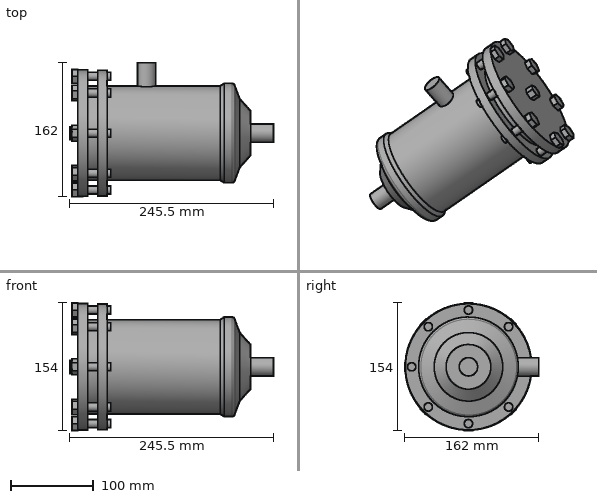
import cadquery as cq
import math


cover_diameter = 153.0
cover_thickness = 12.5

flange_diameter = 152.0
flange_thickness = 11.4
flange_gap = 11.7

bolt_count = 8
bolt_diameter = 10.0
bolt_overhang = 4.5
bolt_head_height = 6.8
bolt_head_flats = 17.0
bolt_circle_radius = 68.5

plug_flats = 14.2
plug_height = 9.1
plug_turn = -10.0

shell_diameter = 114.0
shell_end = 172.0

cap_diameter = 120.39
cap_lead_length = 5.0
cap_band_length = 9.0
cap_corner_length = 3.6
cap_corner_drop = 2.4
cap_steep_cone_length = 6.2
cap_crease_radius = 41.4
cap_end_radius = 27.0
cap_length = 36.7

pipe_diameter = 22.2
outlet_length = 27.7
inlet_x = 83.4
inlet_reach = 85.0


flange_front = cover_thickness + flange_gap
flange_back = flange_front + flange_thickness
bolt_end = flange_back + bolt_overhang
cap_end = shell_end + cap_length


def cylinder(diameter, x_start, x_end):
    """Cylinder on the vessel axis between two X positions."""
    return cq.Workplane("YZ", origin=(x_start, 0, 0)).circle(diameter / 2).extrude(x_end - x_start)


def hexagon_prism(flats, height):
    """Hexagonal prism standing out from the cover face, with two flats facing +Y and -Y."""
    corner_diameter = flats / math.cos(math.pi / 6)
    return cq.Workplane("YZ").transformed(rotate=(0, 0, 30)).polygon(6, corner_diameter).extrude(-height)


def make_bolts():
    """Ring of hexagon-head bolts, each with a flat facing outward."""
    bolt = hexagon_prism(bolt_head_flats, bolt_head_height).union(cylinder(bolt_diameter, 0, bolt_end))
    bolt = bolt.translate((0, bolt_circle_radius, 0))
    bolts = cq.Workplane("YZ")
    for index in range(bolt_count):
        bolts = bolts.add(bolt.rotate((0, 0, 0), (1, 0, 0), index * 360 / bolt_count))
    return bolts.combine()


def make_end_cap():
    """Revolved cap: lead-in cone, straight band, rounded corner and two cones."""
    shell_radius = shell_diameter / 2
    band_radius = cap_diameter / 2
    band_start = shell_end + cap_lead_length
    band_end = band_start + cap_band_length
    corner_end = band_end + cap_corner_length
    crease_x = corner_end + cap_steep_cone_length

    corner_radius = (cap_corner_length**2 + cap_corner_drop**2) / (2 * cap_corner_drop)
    half_turn = math.asin(cap_corner_length / corner_radius) / 2
    corner_middle = (
        band_end + corner_radius * math.sin(half_turn),
        band_radius - corner_radius * (1 - math.cos(half_turn)),
    )

    profile = (
        cq.Workplane("XY")
        .moveTo(shell_end, 0)
        .lineTo(shell_end, shell_radius)
        .lineTo(band_start, band_radius)
        .lineTo(band_end, band_radius)
        .threePointArc(corner_middle, (corner_end, band_radius - cap_corner_drop))
        .lineTo(crease_x, cap_crease_radius)
        .lineTo(cap_end, cap_end_radius)
        .lineTo(cap_end, 0)
        .close()
    )
    return profile.revolve(360, (0, 0, 0), (1, 0, 0))


def make_inlet():
    """Side pipe stub running from the vessel axis out toward +Y."""
    return cq.Workplane("XZ", origin=(inlet_x, 0, 0)).circle(pipe_diameter / 2).extrude(-inlet_reach)



cover = cylinder(cover_diameter, 0, cover_thickness)
flange = cylinder(flange_diameter, flange_front, flange_back)
shell = cylinder(shell_diameter, cover_thickness, shell_end)
outlet = cylinder(pipe_diameter, cap_end, cap_end + outlet_length)
plug = hexagon_prism(plug_flats, plug_height).rotate((0, 0, 0), (1, 0, 0), plug_turn)

result = (
    cover.union(shell)
    .union(flange)
    .union(make_end_cap())
    .union(outlet)
    .union(make_inlet())
    .union(make_bolts())
    .union(plug)
)